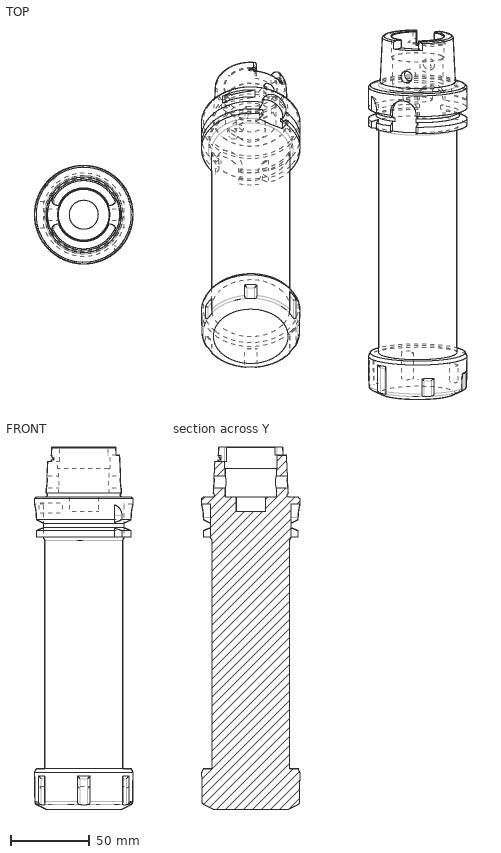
import cadquery as cq
import math

total_length = 232.0

nut_radius = 31.3
nut_height = 26.2
nut_bead_radius = 31.5
nut_bead_z = 24.0
nut_shoulder_radius = 30.5
nut_bottom_radius = 24.0
nut_round_top = 5.0
nut_round_mid = (31.0, 4.0)
nut_round_end = (30.5, 3.2)
nut_slot_width = 8.4
nut_slot_floor = 30.2
nut_slot_fillet = 1.9
tall_slot_top = 21.5
short_slot_top = 15.0
tall_slot_angles = (210, 270, 330)
short_slot_angles = (30, 90, 150)

body_radius = 25.0
flange_radius = 31.5
flange_top = 200.0
flange_chamfer = 1.2
groove_radius = 26.7
upper_rim_bottom = 185.4
groove_top = 182.8
groove_bottom = 180.5
lower_rim_top = 178.5
lower_rim_bottom = 174.2
flange_root_radius = 2.0
flange_bottom = lower_rim_bottom - flange_root_radius

taper_base_radius = 24.1
taper_top_radius = 22.7
taper_top_chamfer = 1.0
relief_outer_radius = 25.0
relief_throat = (23.5, 201.0)
relief_height = 2.3

entry_radius = 16.7
entry_bottom = 218.0
bore_radius = 16.2
entry_chamfer = 0.5
bore_floor = 200.0
socket_radius = 9.3
socket_depth = 9.3
cross_hole_radius = 3.7
cross_hole_z = 209.5

notch_width = 12.0
notch_edge_radius = 3.7
notch_relief_width = 3.0
notch_relief_height = 2.8
notch_relief_lift = 1.0
notch_relief_x = 19.0
deep_notch_depth = 9.3
shallow_notch_depth = 5.3

key_slot_width = 17.2
key_slot_floor = 25.8
key_slot_top = 195.3
index_slot_radius = 7.5
index_slot_x = 19.7
index_slot_y = -20.0
index_slot_arc_z = 188.0
label_flat_distance = 29.7
label_flat_angle = 135
label_flat_top = 196.0
label_flat_bottom = 189.5


def make_turned_blank():
    """Solid of revolution carrying the whole outer profile."""
    return (
        cq.Workplane("XZ")
        .moveTo(0, 0)
        .lineTo(nut_bottom_radius, 0)
        .lineTo(*nut_round_end)
        .threePointArc(nut_round_mid, (nut_radius, nut_round_top))
        .lineTo(nut_bead_radius, nut_bead_z)
        .lineTo(nut_shoulder_radius, nut_height)
        .lineTo(body_radius, nut_height)
        .lineTo(body_radius, flange_bottom)
        .radiusArc((body_radius + flange_root_radius, lower_rim_bottom), flange_root_radius)
        .lineTo(flange_radius, lower_rim_bottom)
        .lineTo(flange_radius, lower_rim_top)
        .lineTo(groove_radius, groove_bottom)
        .lineTo(groove_radius, groove_top)
        .lineTo(flange_radius, upper_rim_bottom)
        .lineTo(flange_radius, flange_top - flange_chamfer)
        .lineTo(flange_radius - flange_chamfer, flange_top)
        .lineTo(relief_outer_radius, flange_top)
        .threePointArc(relief_throat, (taper_base_radius, flange_top + relief_height))
        .lineTo(taper_top_radius, total_length - taper_top_chamfer)
        .lineTo(taper_top_radius - taper_top_chamfer, total_length)
        .lineTo(0, total_length)
        .close()
        .revolve(360, (0, 0, 0), (0, 1, 0))
    )


def make_bore():
    """Stepped, chamfered blind bore with a smaller socket in its floor."""
    mouth_radius = entry_radius + entry_chamfer
    return (
        cq.Workplane("XZ")
        .moveTo(0, bore_floor - socket_depth)
        .lineTo(socket_radius, bore_floor - socket_depth)
        .lineTo(socket_radius, bore_floor)
        .lineTo(bore_radius, bore_floor)
        .lineTo(bore_radius, entry_bottom)
        .lineTo(entry_radius, entry_bottom)
        .lineTo(entry_radius, total_length - entry_chamfer)
        .lineTo(mouth_radius, total_length)
        .lineTo(0, total_length)
        .close()
        .revolve(360, (0, 0, 0), (0, 1, 0))
    )


def make_cross_hole():
    return (
        cq.Workplane("YZ")
        .center(0, cross_hole_z)
        .circle(cross_hole_radius)
        .extrude(flange_radius, both=True)
    )


def make_drive_notch(depth, side):
    """Notch through one shank wall; side is -1 or +1 along X.

    Its mouth flares outward with rounded edges.
    """
    half_width = notch_width / 2
    round_end = math.sqrt(taper_top_radius**2 - (half_width + notch_edge_radius) ** 2)
    round_start = round_end - notch_edge_radius
    mouth_half = half_width + notch_edge_radius
    return (
        cq.Workplane("XY", origin=(0, 0, total_length - depth))
        .moveTo(0, -half_width)
        .lineTo(side * round_start, -half_width)
        .radiusArc((side * round_end, -mouth_half), side * notch_edge_radius)
        .lineTo(side * flange_radius, -mouth_half)
        .lineTo(side * flange_radius, mouth_half)
        .lineTo(side * round_end, mouth_half)
        .radiusArc((side * round_start, half_width), side * notch_edge_radius)
        .lineTo(0, half_width)
        .close()
        .extrude(depth)
    )


def make_notch_relief():
    """Triangular corner reliefs flanking the mouth of the deep notch near its floor."""
    mouth_half = notch_width / 2 + notch_edge_radius
    base_z = total_length - deep_notch_depth + notch_relief_lift
    return (
        cq.Workplane("YZ", origin=(-notch_relief_x, 0, 0))
        .moveTo(-mouth_half - notch_relief_width, base_z)
        .lineTo(-mouth_half, base_z + notch_relief_height)
        .lineTo(mouth_half, base_z + notch_relief_height)
        .lineTo(mouth_half + notch_relief_width, base_z)
        .close()
        .extrude(-flange_radius)
    )


def make_round_topped_slot(radius, floor_x, center_y, arc_z):
    """Slot facing +X from floor_x outward, open downward past the flange."""
    return (
        cq.Workplane("YZ", origin=(floor_x, center_y, 0))
        .moveTo(-radius, flange_bottom)
        .lineTo(-radius, arc_z)
        .threePointArc((0, arc_z + radius), (radius, arc_z))
        .lineTo(radius, flange_bottom)
        .close()
        .extrude(flange_radius)
    )


def make_label_flat():
    height = label_flat_top - label_flat_bottom
    return (
        cq.Workplane("XY", origin=(0, 0, label_flat_bottom))
        .rect(flange_radius, 2 * flange_radius)
        .extrude(height)
        .translate((label_flat_distance + flange_radius / 2, 0, 0))
        .rotate((0, 0, 0), (0, 0, 1), label_flat_angle)
    )


def make_nut_slot(top, angle):
    """Spanner slot in the nut rim, rounded along its floor edges, open at the bottom."""
    return (
        cq.Workplane("YZ", origin=(nut_slot_floor, 0, 0))
        .center(0, top / 2)
        .rect(nut_slot_width, top)
        .extrude(flange_radius)
        .faces("<X")
        .edges("|Z or >Z")
        .fillet(nut_slot_fillet)
        .rotate((0, 0, 0), (0, 0, 1), angle)
    )


result = make_turned_blank().cut(make_bore()).cut(make_cross_hole())

result = result.cut(make_drive_notch(deep_notch_depth, -1)).cut(make_notch_relief())
result = result.cut(make_drive_notch(shallow_notch_depth, 1))

key_slot_radius = key_slot_width / 2
key_slot = make_round_topped_slot(key_slot_radius, key_slot_floor, 0, key_slot_top - key_slot_radius)
for key_slot_angle in (0, 180):
    result = result.cut(key_slot.rotate((0, 0, 0), (0, 0, 1), key_slot_angle))

index_slot_center = index_slot_y - index_slot_radius
result = result.cut(
    make_round_topped_slot(index_slot_radius, index_slot_x, index_slot_center, index_slot_arc_z)
)
result = result.cut(make_label_flat())

for slot_angle in tall_slot_angles:
    result = result.cut(make_nut_slot(tall_slot_top, slot_angle))
for slot_angle in short_slot_angles:
    result = result.cut(make_nut_slot(short_slot_top, slot_angle))